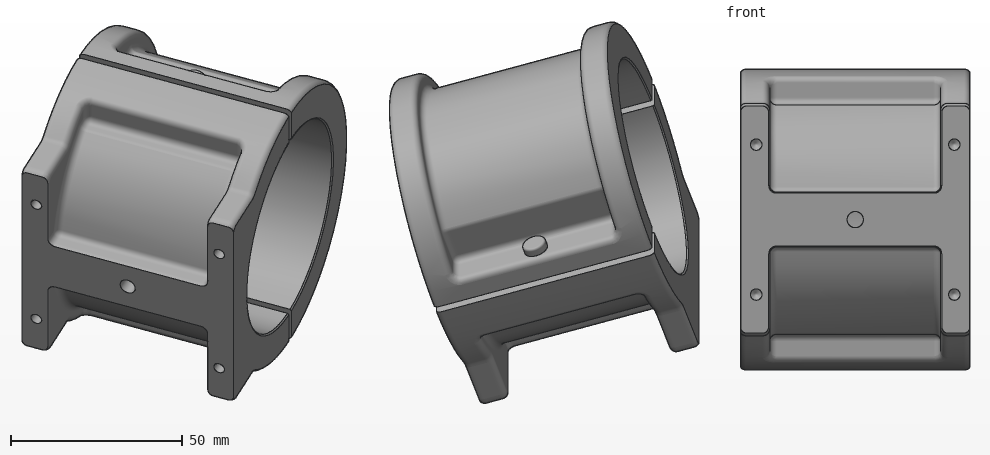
import cadquery as cq
import math


width = 67.0
overall_height = 88.0
bore_radius = 32.55
bore_chamfer = 0.4
base_y = -43.0
base_half_height = 34.0
split_gap = 1.9
outer_radius = math.hypot(overall_height / 2, split_gap / 2)

base_round = 3.0
edge_round = 2.0
end_stock = 0.35
base_stock = 1.0

pocket_half_width = 25.0
core_radius = 38.5
core_half_height = 33.5
front_pocket_y = -15.0
back_pocket_y = 7.65
rib_half_height = 8.0

mount_hole_diameter = 3.3
mount_hole_depth = 9.7
mount_hole_x = 28.95
mount_hole_z = 21.9
drill_point_angle = 118.0
center_hole_diameter = 4.75

screw_z = 38.0
screw_diameter = 4.0
screw_embed = 8.8
head_diameter = 7.0
head_height = 2.5
head_round = 0.7

reach = 61.6
cutter_length = 2 * reach
wall_tolerance = 0.04


def x_cylinder(radius, length):
    return cq.Workplane("YZ").circle(radius).extrude(length / 2, both=True)


def cast_blank():
    """Ring and base with rounded outer edges, oversize where it is machined."""
    cast_width = width + 2 * end_stock
    base_depth = base_stock - base_y
    ring = x_cylinder(outer_radius, cast_width)
    base = (
        cq.Workplane("XY")
        .box(cast_width, base_depth, 2 * base_half_height, centered=(True, False, True))
        .translate((0, -base_depth, 0))
    )
    blank = ring.union(base)
    base_side = cq.selectors.BoxSelector((-reach, -reach, -reach), (reach, 0, reach))
    blank = blank.edges("|X").edges(base_side).fillet(base_round)
    return blank.faces("<X or >X").edges().fillet(edge_round)


def pocket_core():
    """Body left standing under the pocket floors."""
    slab = cq.Workplane("XY").box(width, cutter_length, 2 * core_half_height)
    return x_cylinder(core_radius, width).intersect(slab).edges("|X").fillet(edge_round)


def edges_on_wall(low, high, axis, place):
    """Selector for the edges of the box low-high that lie in the plane axis = place."""
    slab_low = [value - wall_tolerance for value in low]
    slab_high = [value + wall_tolerance for value in high]
    slab_low[axis] = place - wall_tolerance
    slab_high[axis] = place + wall_tolerance
    return cq.selectors.BoxSelector(slab_low, slab_high)


def cut_pocket(body, y_min, y_max, z_min, z_max):
    """Cut a pocket down to the core, then round its rim, corners and floor together."""
    tool = (
        cq.Workplane("XY")
        .box(2 * pocket_half_width, y_max - y_min, z_max - z_min, centered=(True, False, False))
        .translate((0, y_min, z_min))
        .cut(pocket_core())
    )
    low = (-pocket_half_width, y_min, z_min)
    high = (pocket_half_width, y_max, z_max)
    wall_edges = edges_on_wall(low, high, 0, low[0])
    for axis, place in ((0, high[0]), (1, low[1]), (1, high[1]), (2, low[2]), (2, high[2])):
        wall_edges = wall_edges + edges_on_wall(low, high, axis, place)
    return body.cut(tool).edges(wall_edges).fillet(edge_round)


def machine(body):
    """Face the base and both ends, bore the ring, then split it."""
    envelope = (
        cq.Workplane("XY")
        .box(width, reach - base_y, cutter_length, centered=(True, False, True))
        .translate((0, base_y, 0))
    )
    bore_profile = [
        (-width / 2, 0),
        (-width / 2, bore_radius + bore_chamfer),
        (-width / 2 + bore_chamfer, bore_radius),
        (width / 2 - bore_chamfer, bore_radius),
        (width / 2, bore_radius + bore_chamfer),
        (width / 2, 0),
    ]
    bore = cq.Workplane("XY").polyline(bore_profile).close().revolve(360, (0, 0, 0), (1, 0, 0))
    split = cq.Workplane("XY").box(cutter_length, split_gap, cutter_length)
    return body.intersect(envelope).cut(bore).cut(split)


def mount_hole(x, z):
    """Blind hole with a drill point, entering the base face."""
    radius = mount_hole_diameter / 2
    point_depth = radius / math.tan(math.radians(drill_point_angle / 2))
    outline = [
        (x, base_y),
        (x + radius, base_y),
        (x + radius, base_y + mount_hole_depth),
        (x, base_y + mount_hole_depth + point_depth),
    ]
    hole = cq.Workplane("XY").polyline(outline).close().revolve(360, (x, 0, 0), (x, 1, 0))
    return hole.translate((0, 0, z))


def center_hole():
    """Hole through the base into the bore."""
    return cq.Workplane("XZ").circle(center_hole_diameter / 2).extrude(-base_y)


def clamp_screw(z):
    """Screw seated on the back pocket wall, crossing the split."""
    shank_start = -split_gap / 2 - screw_embed
    shank = (
        cq.Workplane("XZ", origin=(0, shank_start, z))
        .circle(screw_diameter / 2)
        .extrude(shank_start - back_pocket_y)
    )
    head = (
        cq.Workplane("XZ", origin=(0, back_pocket_y, z))
        .circle(head_diameter / 2)
        .extrude(-head_height)
        .faces(">Y")
        .edges()
        .fillet(head_round)
    )
    return shank.union(head)


clamp = cast_blank()
clamp = cut_pocket(clamp, back_pocket_y, reach, -reach, reach)
clamp = cut_pocket(clamp, -reach, front_pocket_y, rib_half_height, reach)
clamp = cut_pocket(clamp, -reach, front_pocket_y, -reach, -rib_half_height)
clamp = machine(clamp)

clamp = clamp.cut(center_hole())
for hole_x in (-mount_hole_x, mount_hole_x):
    for hole_z in (-mount_hole_z, mount_hole_z):
        clamp = clamp.cut(mount_hole(hole_x, hole_z))

for seat_z in (-screw_z, screw_z):
    clamp = clamp.union(clamp_screw(seat_z))

result = clamp